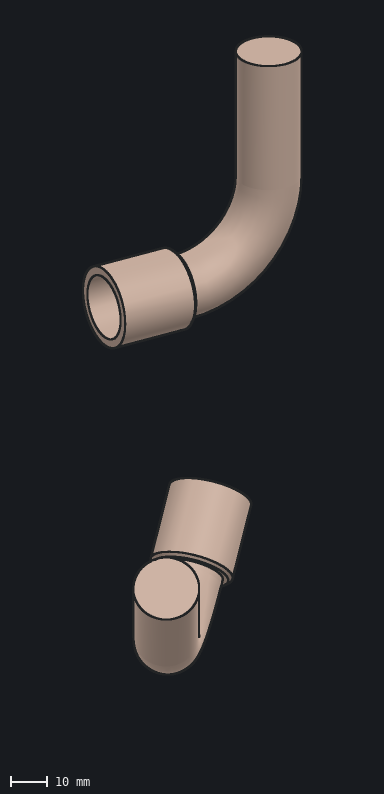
import cadquery as cq

pipe_diameter = 18.0
bend_radius = 27.0
overall_height = 76.5
overall_depth = 60.8
socket_diameter = 23.0
socket_length = 22.95
socket_chamfer = 1.0
bore_depth = 19.9

bore_diameter = pipe_diameter
upright_length = overall_height - socket_diameter / 2 - bend_radius
stub_length = overall_depth - pipe_diameter / 2 - bend_radius - socket_length
socket_back_y = -bend_radius - stub_length
socket_front_y = socket_back_y - socket_length


def make_pipe():
    """Solid rod: upright leg, quarter bend and short horizontal stub."""
    upright = (
        cq.Workplane("XY", origin=(0, 0, bend_radius))
        .circle(pipe_diameter / 2)
        .extrude(upright_length)
    )
    bend = (
        cq.Workplane("XY", origin=(0, 0, bend_radius))
        .circle(pipe_diameter / 2)
        .revolve(90, (0, -bend_radius, 0), (-1, -bend_radius, 0))
    )
    stub = (
        cq.Workplane("XZ", origin=(0, -bend_radius, 0))
        .circle(pipe_diameter / 2)
        .extrude(stub_length)
    )
    return upright.union(bend).union(stub)


def make_socket():
    """Larger cylinder with a chamfered back edge and a blind bore at its front."""
    body = (
        cq.Workplane("XZ", origin=(0, socket_back_y, 0))
        .circle(socket_diameter / 2)
        .extrude(socket_length)
        .faces(">Y")
        .edges()
        .chamfer(socket_chamfer)
    )
    bore = (
        cq.Workplane("XZ", origin=(0, socket_front_y + bore_depth, 0))
        .circle(bore_diameter / 2)
        .extrude(bore_depth)
    )
    return body.cut(bore)


result = make_pipe().union(make_socket())